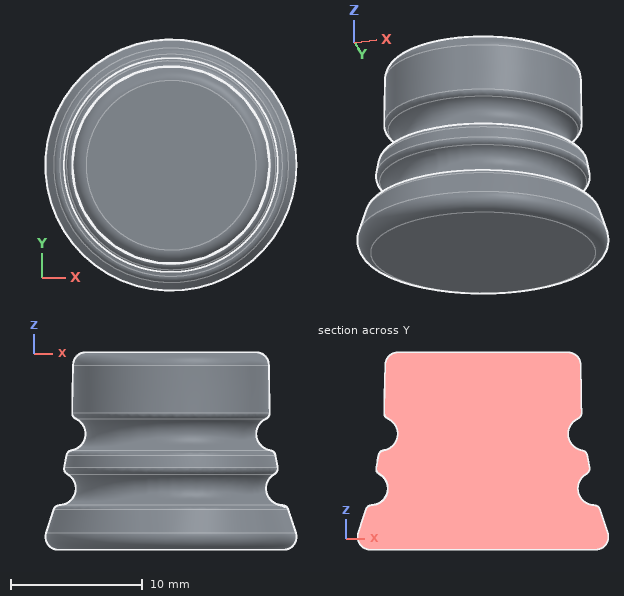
import cadquery as cq
import math

total_height = 15.0
base_radius = 9.92
base_taper = math.degrees(math.atan(1 / 3))
collar_radius = 8.10
collar_height = 6.30
collar_taper = 11.0
cap_radius = 7.50
cap_height = 10.40
cap_taper = 1.0

groove_radius = 1.25
lower_groove_center = (8.47, 4.66)
upper_groove_center = (7.73, 8.80)

outer_fillet = 1.0
groove_fillet = 0.5


def cone_radius(radius, height, taper, z):
    """Radius at z of a cone that has the given radius at the given height."""
    return radius - (z - height) * math.tan(math.radians(taper))


def make_body():
    """Revolve the stacked cones; each step lies inside a groove."""
    lower_step = lower_groove_center[1]
    upper_step = upper_groove_center[1]
    profile = (
        cq.Workplane("XZ")
        .lineTo(base_radius, 0)
        .lineTo(cone_radius(base_radius, 0, base_taper, lower_step), lower_step)
        .lineTo(cone_radius(collar_radius, collar_height, collar_taper, lower_step), lower_step)
        .lineTo(cone_radius(collar_radius, collar_height, collar_taper, upper_step), upper_step)
        .lineTo(cone_radius(cap_radius, cap_height, cap_taper, upper_step), upper_step)
        .lineTo(cone_radius(cap_radius, cap_height, cap_taper, total_height), total_height)
        .lineTo(0, total_height)
        .close()
    )
    return profile.revolve(360, (0, 0), (0, 1))


def make_groove_ring(center):
    """Torus that cuts one groove."""
    section = cq.Workplane("XZ").center(*center).circle(groove_radius)
    return section.revolve(360, (-center[0], 0), (-center[0], 1))


def round_edges(body):
    """Round the groove lips, then the top and bottom rims."""
    groove_edges = body.faces("%TORUS").edges().vals()
    lips = [edge for edge in groove_edges if edge.IsClosed()]
    body = body.newObject(lips).fillet(groove_fillet)
    return body.faces("<Z or >Z").edges().fillet(outer_fillet)


body = make_body()
for groove_center in (lower_groove_center, upper_groove_center):
    body = body.cut(make_groove_ring(groove_center))

result = round_edges(body)